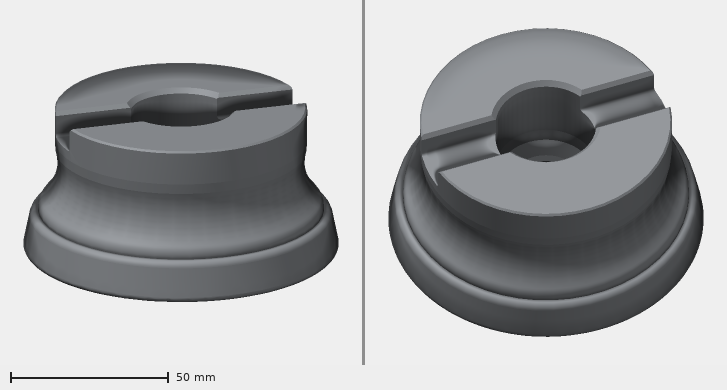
import cadquery as cq
import math

total_height = 50.0
pad_height = 15.5
through_diameter = 18.0

pad_foot_radius = 38.4
pad_widest_radius = 50.3
pad_widest_height = 2.7
pad_top_radius = 47.7
pad_lower_round = 1.6
pad_upper_round = 2.5

head_diameter = 80.0
head_edge_chamfer = 0.6
head_bottom_height = 38.9
neck_top_height = 35.6
waist_radius = 39.2
waist_height = 31.2
neck_round = 16.7
skirt_diameter = 90.7
skirt_round = 4.5
skirt_join_angle = 45.0

bore_diameter = 32.0
bore_chamfer = 1.5
bore_taper_top_height = 28.0
bore_cone_top_height = 24.0
bore_cone_top_diameter = 30.7
seat_height = 21.0
seat_diameter = 22.8

slot_width = 14.5
slot_depth = 8.1
slot_edge_chamfer = 1.2
slot_floor_round = 1.0


def make_pad():
    """Ring pad under the body, with rounded outer edges."""
    pad = (
        cq.Workplane("XZ")
        .polyline([
            (0, 0),
            (pad_foot_radius, 0),
            (pad_widest_radius, pad_widest_height),
            (pad_top_radius, pad_height),
            (0, pad_height),
        ])
        .close()
        .revolve(360, (0, 0), (0, 1))
    )
    pad = pad.edges("%CIRCLE and (not >Z) and (not <Z)").fillet(pad_lower_round)
    pad = pad.edges(">Z").fillet(pad_upper_round)
    bore = cq.Workplane("XY").circle(through_diameter / 2).extrude(pad_height)
    return pad.cut(bore)


def neck_point(angle):
    """Point of the hollow neck arc, at an angle in degrees above its waist."""
    turn = math.radians(angle)
    radius = waist_radius + neck_round * (1 - math.cos(turn))
    return radius, waist_height + neck_round * math.sin(turn)


def make_body_blank():
    """Solid turned shape: skirt, hollow neck and cylindrical head."""
    head_radius = head_diameter / 2
    skirt_radius = skirt_diameter / 2

    neck_bottom = neck_point(-skirt_join_angle)
    neck_top_angle = math.degrees(math.asin((neck_top_height - waist_height) / neck_round))
    neck_top = neck_point(neck_top_angle)
    skirt_round_height = neck_bottom[1] - skirt_round * math.sin(math.radians(skirt_join_angle))
    half_turn = math.radians(skirt_join_angle / 2)
    skirt_round_middle = (
        skirt_radius - skirt_round * (1 - math.cos(half_turn)),
        skirt_round_height + skirt_round * math.sin(half_turn),
    )

    return (
        cq.Workplane("XZ")
        .moveTo(0, pad_height)
        .lineTo(skirt_radius, pad_height)
        .lineTo(skirt_radius, skirt_round_height)
        .threePointArc(skirt_round_middle, neck_bottom)
        .threePointArc(neck_point(0), neck_top)
        .lineTo(head_radius, head_bottom_height)
        .lineTo(head_radius, total_height - head_edge_chamfer)
        .lineTo(head_radius - head_edge_chamfer, total_height)
        .lineTo(0, total_height)
        .close()
        .revolve(360, (0, 0), (0, 1))
    )


def make_bore():
    """Chamfered bore that tapers to a flat seat around the through hole."""
    bore_radius = bore_diameter / 2
    return (
        cq.Workplane("XZ")
        .polyline([
            (0, pad_height),
            (through_diameter / 2, pad_height),
            (through_diameter / 2, seat_height),
            (seat_diameter / 2, seat_height),
            (bore_cone_top_diameter / 2, bore_cone_top_height),
            (bore_radius, bore_taper_top_height),
            (bore_radius, total_height - bore_chamfer),
            (bore_radius + bore_chamfer, total_height),
            (0, total_height),
        ])
        .close()
        .revolve(360, (0, 0), (0, 1))
    )


def make_slot():
    """Slot along Y with rounded floor corners and chamfered top edges."""
    half_width = slot_width / 2
    floor_height = total_height - slot_depth
    slot = (
        cq.Workplane("XY")
        .box(slot_width, skirt_diameter, slot_depth, centered=(True, True, False))
        .edges("|Y and <Z")
        .fillet(slot_floor_round)
        .translate((0, 0, floor_height))
    )
    bevel = (
        cq.Workplane("XZ")
        .polyline([
            (-half_width, total_height - slot_edge_chamfer),
            (half_width, total_height - slot_edge_chamfer),
            (half_width + slot_edge_chamfer, total_height),
            (-half_width - slot_edge_chamfer, total_height),
        ])
        .close()
        .extrude(skirt_diameter / 2, both=True)
    )
    return slot.union(bevel)


pad = make_pad()
body = make_body_blank().cut(make_bore()).cut(make_slot())

result = cq.Compound.makeCompound([pad.val(), body.val()])